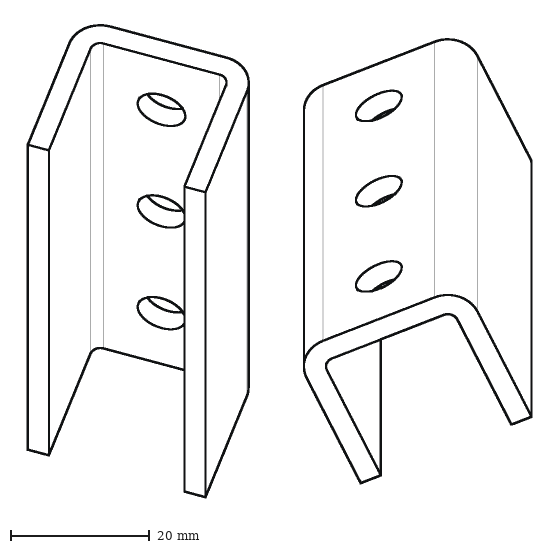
import cadquery as cq

length = 74.6
width = 27.0
depth = 23.8
wall = 3.2
inner_bend_radius = 1.5
outer_bend_radius = inner_bend_radius + wall

hole_diameter = 7.2
hole_count = 3
hole_pitch = length / hole_count


def rounded_bar(bar_width, bar_depth, bend_radius):
    """Full-length bar, open side on y = 0, with its two back edges rounded."""
    return (
        cq.Workplane("XY")
        .rect(bar_width, 2 * bar_depth)
        .extrude(length)
        .edges("|Z")
        .fillet(bend_radius)
        .intersect(
            cq.Workplane("XY").box(bar_width, bar_depth, length, centered=(True, False, False))
        )
    )


def web_holes():
    """Row of evenly spaced cylinders along Y, centred on the channel length."""
    return (
        cq.Workplane("XZ")
        .center(0, length / 2)
        .rarray(0.75, hole_pitch, 1, hole_count)
        .circle(hole_diameter / 2)
        .extrude(-depth)
    )


outside = rounded_bar(width, depth, outer_bend_radius)
inside = rounded_bar(width - 2 * wall, depth - wall, inner_bend_radius)
result = outside.cut(inside).cut(web_holes())